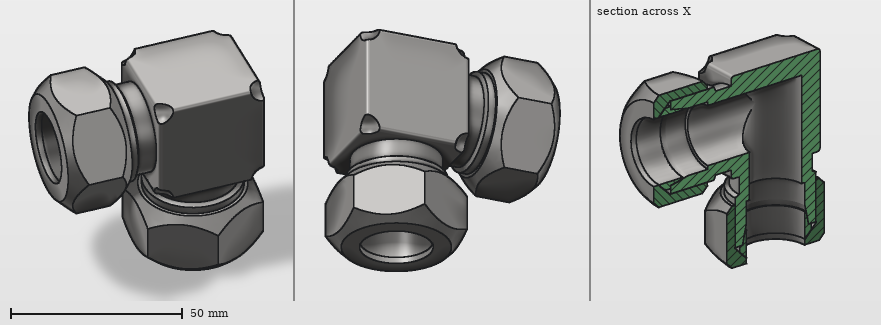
import cadquery as cq
import math


overall_length = 63.0
nut_across_corners = 41.6
nut_across_flats = nut_across_corners * math.cos(math.pi / 6)
port_end = overall_length - nut_across_flats / 2

block_width = 32.0
block_side = 33.0
edge_radius = 1.25
corner_scoop_radius = 4.4

nut_length = 20.0
nut_face_radius = 16.05
nut_lip_thickness = 1.95
nut_back = port_end - nut_length

neck_radius = 13.55
thread_radius = 15.0
neck_end = 22.0
thread_lead_in = 0.75

tube_radius = 10.7
passage_radius = 9.6
tube_stop = nut_back

cone_half_angle = math.radians(12)
ring_length = 8.8
ring_flange_radius = 13.2
cone_clearance_length = 1.95

ring_back = port_end - nut_lip_thickness
ring_tip = ring_back - ring_length
cone_start = ring_tip - cone_clearance_length
thread_end = ring_back - (thread_radius - tube_radius)

port_turns = (90, 180)


def cone_radius(height):
    """Radius of the sealing cone at a height along the port."""
    return tube_radius + (height - cone_start) * math.tan(cone_half_angle)


def revolved(profile):
    """Solid of revolution about Z from (radius, height) points."""
    return cq.Workplane("YZ").polyline(profile).close().revolve(360, (0, 0), (0, 1))


def turned(body, angle):
    """Body turned about X from +Z to a port's direction."""
    return body.rotate((0, 0, 0), (1, 0, 0), angle)


def make_block_core():
    """Cuboid with rounded edges and a spherical scoop at every corner."""
    cuboid = cq.Workplane("XY").box(block_width, block_side, block_side)
    corners = [corner.toTuple() for corner in cuboid.vertices().vals()]
    core = cuboid.edges().fillet(edge_radius)
    for corner in corners:
        outward = math.degrees(math.atan2(corner[1], corner[0]))
        scoop = cq.Workplane("XY").sphere(corner_scoop_radius)
        scoop = scoop.rotate((0, 0, 0), (0, 0, 1), outward).translate(corner)
        core = core.cut(scoop)
    return core


def make_spigot():
    """Neck that widens to the thread, solid up to the port's end face."""
    return revolved([
        (0, 0),
        (neck_radius, 0),
        (neck_radius, neck_end),
        (thread_radius, neck_end + thread_lead_in),
        (thread_radius, thread_end),
        (0, thread_end),
    ])


def make_port_bore(passage_bottom):
    """Passage, tube socket and sealing cone to be cut from one port."""
    return revolved([
        (0, passage_bottom),
        (passage_radius, passage_bottom),
        (passage_radius, tube_stop),
        (tube_radius, tube_stop),
        (tube_radius, cone_start),
        (cone_radius(thread_end), thread_end),
        (0, thread_end),
    ])


def make_block():
    """Block with both threaded ports; the -Z passage runs past the -Y one to close the bend."""
    block = make_block_core()
    for angle in port_turns:
        block = block.union(turned(make_spigot(), angle))
    for angle, passage_bottom in zip(port_turns, (0, -passage_radius)):
        block = block.cut(turned(make_port_bore(passage_bottom), angle))
    return block


def make_nut():
    """Hexagon nut, 45-degree chamfered at both ends, with corners on the X axis."""
    corner_radius = nut_across_corners / 2
    chamfer = corner_radius - nut_face_radius
    hexagon = (
        cq.Workplane("XY")
        .workplane(offset=nut_back)
        .polygon(6, nut_across_corners)
        .extrude(nut_length)
    )
    chamfer_envelope = revolved([
        (0, nut_back),
        (nut_face_radius, nut_back),
        (corner_radius, nut_back + chamfer),
        (corner_radius, port_end - chamfer),
        (nut_face_radius, port_end),
        (0, port_end),
    ])
    bore = revolved([
        (0, nut_back),
        (thread_radius, nut_back),
        (thread_radius, thread_end),
        (tube_radius, ring_back),
        (tube_radius, port_end),
        (0, port_end),
    ])
    return hexagon.intersect(chamfer_envelope).cut(bore)


def make_cutting_ring():
    """Ring with a 45-degree back, a flange against the port's end face and a tapered nose."""
    flange_back = ring_back - (ring_flange_radius - tube_radius)
    return revolved([
        (tube_radius, ring_tip),
        (cone_radius(ring_tip), ring_tip),
        (cone_radius(thread_end), thread_end),
        (ring_flange_radius, thread_end),
        (ring_flange_radius, flange_back),
        (tube_radius, ring_back),
    ])


block = make_block()
nuts = []
cutting_rings = []
for angle in port_turns:
    nuts.append(turned(make_nut(), angle).val())
    cutting_rings.append(turned(make_cutting_ring(), angle).val())

result = cq.Compound.makeCompound([block.val(), *nuts, *cutting_rings])